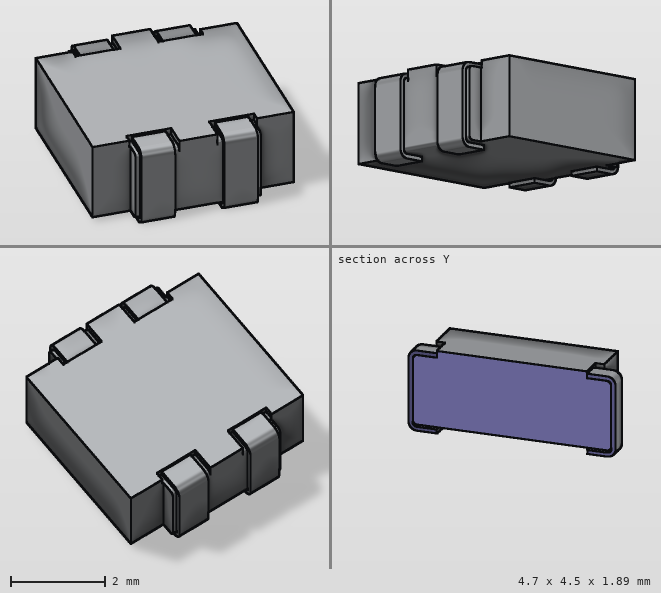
import cadquery as cq
import math

overall_width = 4.7
overall_height = 1.89

core_width = 3.8
body_depth = 4.5
body_height = 1.75
shoulder_width = 4.5
shoulder_depth = 2.8

terminal_width = 0.75
terminal_pitch = 1.85
terminal_reach = 0.65
terminal_drop = 0.05
terminal_thickness = (overall_width - shoulder_width) / 2
inner_bend_radius = 0.1
outer_bend_radius = inner_bend_radius + terminal_thickness

recess_width = 1.0
recess_depth = terminal_drop + terminal_thickness
recess_end_x = overall_width / 2 - terminal_reach

body_bottom = overall_height - body_height
recess_floor = overall_height - recess_depth

terminal_places = [(side, row * terminal_pitch / 2) for side in (-1, 1) for row in (-1, 1)]


def make_block(x_size, y_size, z_size, x_middle, y_middle, z_bottom):
    """Box given by its sizes, its middle in X and Y, and its underside."""
    block = cq.Workplane("XY").box(x_size, y_size, z_size, centered=(True, True, False))
    return block.translate((x_middle, y_middle, z_bottom))


def make_shoulders():
    """Block across both shoulders, its lower outer edges rounded."""
    block = make_block(shoulder_width, shoulder_depth, body_height, 0, 0, body_bottom)
    return block.edges("|Y and <Z").fillet(inner_bend_radius)


def make_recess_cutter(side, y_middle):
    """Open-ended recess whose floor rolls over into the shoulder face along the terminal bend."""
    shoulder_x = shoulder_width / 2
    bend_start_x = shoulder_x - inner_bend_radius
    bend_end_z = recess_floor - inner_bend_radius
    diagonal = inner_bend_radius * math.sqrt(0.5)
    bend_middle = (bend_start_x + diagonal, bend_end_z + diagonal)
    profile = (
        cq.Workplane("XZ")
        .moveTo(recess_end_x, overall_height)
        .lineTo(recess_end_x, recess_floor)
        .lineTo(bend_start_x, recess_floor)
        .threePointArc(bend_middle, (shoulder_x, bend_end_z))
        .lineTo(overall_width / 2, bend_end_z)
        .lineTo(overall_width / 2, overall_height)
        .close()
    )
    cutter = profile.extrude(recess_width / 2, both=True)
    if side < 0:
        cutter = cutter.mirror("YZ")
    return cutter.translate((0, y_middle, 0))


def make_body():
    """Core and shoulders in one piece, with a recess for each terminal."""
    body = make_block(core_width, body_depth, body_height, 0, 0, body_bottom).union(make_shoulders())
    for side, y_middle in terminal_places:
        body = body.cut(make_recess_cutter(side, y_middle))
    return body.solids()


def make_terminal(side, y_middle):
    """C-shaped strip: upper leg in the recess, upright on the shoulder, lower leg under the body."""
    strip_height = overall_height - terminal_drop
    leg_middle_x = overall_width / 2 - terminal_reach / 2
    opening_length = terminal_reach - terminal_thickness
    opening_middle_x = recess_end_x + opening_length / 2
    opening_height = strip_height - 2 * terminal_thickness

    strip = make_block(terminal_reach, terminal_width, strip_height, leg_middle_x, 0, 0)
    strip = strip.edges("|Y and >X").fillet(outer_bend_radius)
    opening = make_block(
        opening_length, terminal_width, opening_height, opening_middle_x, 0, terminal_thickness
    )
    opening = opening.edges("|Y and >X").fillet(inner_bend_radius)

    terminal = strip.cut(opening)
    if side < 0:
        terminal = terminal.mirror("YZ")
    return terminal.translate((0, y_middle, 0)).solids()


body = make_body()
terminals = [make_terminal(side, y_middle) for side, y_middle in terminal_places]

result = cq.Compound.makeCompound([body.val(), *[terminal.val() for terminal in terminals]])